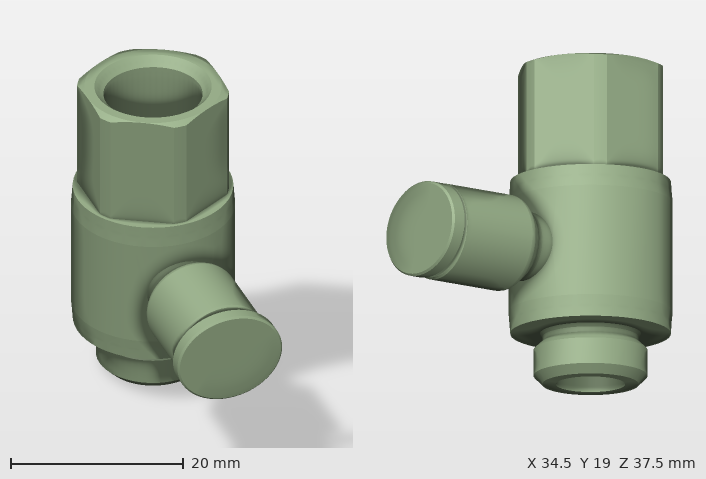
import cadquery as cq
import math

total_height = 37.5
body_bottom = 6.0
body_top = 24.0

body_radius = 9.505
body_end_radius = 9.3
body_taper_length = 2.5

plug_radius = 6.6
plug_chamfer = 1.0
plug_shoulder_height = 4.05
neck_radius = plug_radius - plug_chamfer
neck_bottom = 5.0
neck_top = 5.6
neck_flare_radius = 5.85

hex_across_flats = 15.98
hex_corner_radius = 8.8
hex_top_radius = 7.95
hex_chamfer_height = 0.35

through_radius = 4.0
socket_radius = 5.75
socket_mouth_radius = 6.8
socket_depth = total_height - body_top
socket_chamfer = socket_mouth_radius - socket_radius

port_height = (body_bottom + body_top) / 2
stem_radius = through_radius
stem_start = 7.5
cone_start = 10.45
cone_end = 12.4
cone_blend = 1.0
sleeve_radius = 5.62
sleeve_end = 22.5
groove_radius = 3.75
release_start = 23.32
release_end = 24.98
release_half_width = 6.5
release_half_height = 5.5
edge_chamfer = 0.22


def revolve_about_z(profile):
    """Revolve a list of (radius, z) points, closed along the Z axis."""
    bottom, top = profile[0][1], profile[-1][1]
    outline = [(0, bottom)] + profile + [(0, top)]
    return cq.Workplane("XZ").polyline(outline).close().revolve(360, (0, 0), (0, 1))


def make_body_and_plug():
    return revolve_about_z([
        (plug_radius - plug_chamfer, 0),
        (plug_radius, plug_chamfer),
        (plug_radius, plug_shoulder_height),
        (neck_radius, neck_bottom),
        (neck_radius, neck_top),
        (neck_flare_radius, body_bottom),
        (body_end_radius, body_bottom),
        (body_radius, body_bottom + body_taper_length),
        (body_radius, body_top - body_taper_length),
        (body_end_radius, body_top),
    ])


def make_hex_head():
    across_corners = hex_across_flats / math.cos(math.pi / 6)
    prism = (
        cq.Workplane("XY", origin=(0, 0, body_top))
        .polygon(6, across_corners)
        .extrude(total_height - body_top)
    )
    turned_blank = revolve_about_z([
        (hex_corner_radius, body_top),
        (hex_corner_radius, total_height - hex_chamfer_height),
        (hex_top_radius, total_height),
    ])
    return prism.intersect(turned_blank)


def make_bore():
    socket_floor = total_height - socket_depth
    return revolve_about_z([
        (through_radius, 0),
        (through_radius, socket_floor),
        (socket_radius, socket_floor),
        (socket_radius, total_height - socket_chamfer),
        (socket_mouth_radius, total_height),
    ])


def make_port_sleeve():
    """Stem, cone, sleeve and groove turned about the port axis."""
    sleeve = (
        cq.Workplane("XY", origin=(0, 0, port_height))
        .polyline([
            (stem_start, 0),
            (stem_start, stem_radius),
            (cone_start, stem_radius),
            (cone_end, sleeve_radius),
            (sleeve_end - edge_chamfer, sleeve_radius),
            (sleeve_end, sleeve_radius - edge_chamfer),
            (sleeve_end, groove_radius),
            (release_start, groove_radius),
            (release_start, 0),
        ])
        .close()
        .revolve(360, (0, 0), (1, 0))
    )
    cone_edges = cq.selectors.BoxSelector(
        (cone_start - cone_blend, -sleeve_radius, port_height - sleeve_radius),
        (cone_end + cone_blend, sleeve_radius, port_height + sleeve_radius),
    )
    return sleeve.edges("%CIRCLE").edges(cone_edges).fillet(cone_blend)


def make_release_ring():
    """Elliptical push-in release ring at the end of the port."""
    return (
        cq.Workplane("YZ", origin=(release_start, 0, port_height))
        .ellipse(release_half_width, release_half_height)
        .extrude(release_end - release_start)
        .faces(">X")
        .chamfer(edge_chamfer)
    )


result = (
    make_body_and_plug()
    .union(make_hex_head())
    .union(make_port_sleeve())
    .union(make_release_ring())
    .cut(make_bore())
)